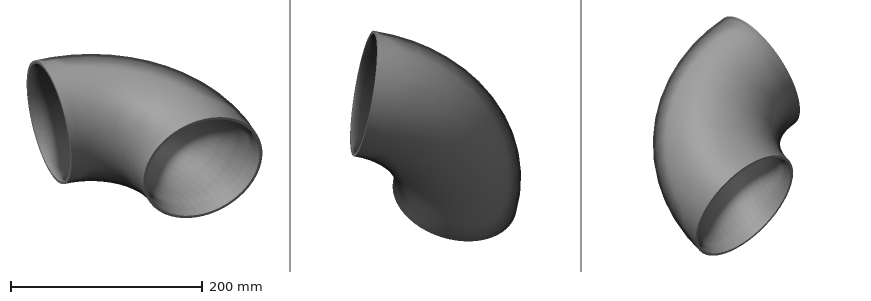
import cadquery as cq

overall_reach = 191.5
outer_diameter = 133.0
wall_thickness = 3.0
bend_angle = 90.0

outer_radius = outer_diameter / 2
inner_radius = outer_radius - wall_thickness
bend_radius = overall_reach - outer_radius

ring_section = (
    cq.Workplane("XZ")
    .center(-bend_radius, 0)
    .circle(outer_radius)
    .circle(inner_radius)
)

axis_start = (bend_radius, 0)
axis_end = (bend_radius, -1)
result = ring_section.revolve(bend_angle, axis_start, axis_end)